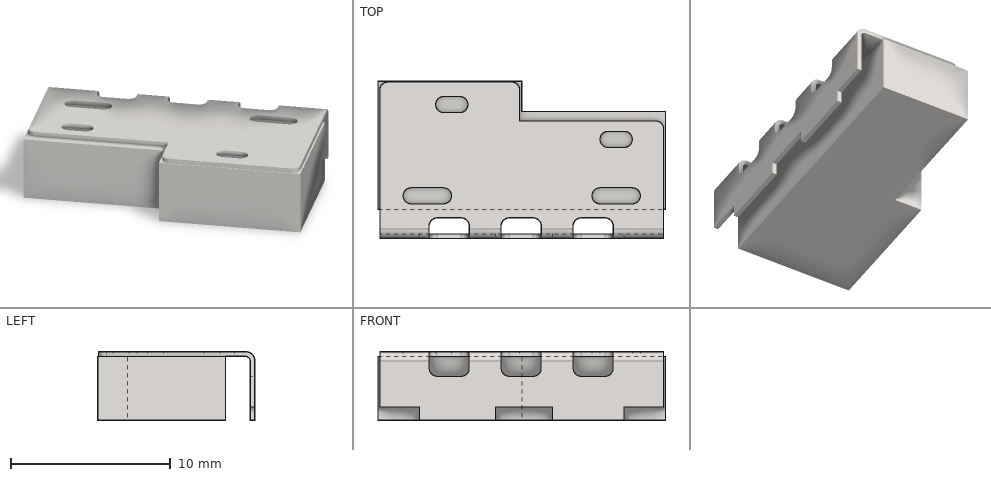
import cadquery as cq

LENGTH = 18.0
DEPTH = 9.85
HEIGHT = 4.3

SHEET = 0.3
BEND_RADIUS = 0.6
CORNER_RADIUS = 0.5
COVER_SIDE_INSET = 0.13
COVER_BACK_INSET = 0.05
COVER_STEP_Y = -2.48

BLOCK_DEPTH = 8.01
BLOCK_HEIGHT = HEIGHT - SHEET
BLOCK_STEP_X = 0.0
BLOCK_STEP_Y = -1.89

HOLE_WIDTH = 1.0
SHORT_HOLE = 2.02
LONG_HOLE = 3.02
SIDE_HOLE_X = 5.9
HOLES = [
    (SHORT_HOLE, -4.37, -1.45),
    (SHORT_HOLE, SIDE_HOLE_X, -3.64),
    (LONG_HOLE, -SIDE_HOLE_X, -7.16),
    (LONG_HOLE, SIDE_HOLE_X, -7.16),
]

WINDOW_WIDTH = 2.5
WINDOW_PITCH = 4.5
MIDDLE_WINDOW_X = -0.04
WINDOW_BACK_Y = -8.55
WINDOW_DROP = 1.55

NOTCH_HEIGHT = 0.83
END_NOTCH_LENGTH = 2.6
MIDDLE_NOTCH_LENGTH = 3.55
MIDDLE_NOTCH_X = 0.15

COVER_LENGTH = LENGTH - 2 * COVER_SIDE_INSET
COVER_RIGHT = COVER_LENGTH / 2
COVER_STEP_X = BLOCK_STEP_X - COVER_SIDE_INSET


def stepped_plan(left, right, back, front, step_x, step_y, height):
    """Rectangular slab whose back right corner is cut away."""
    outline = [(left, front), (right, front), (right, step_y), (step_x, step_y), (step_x, back), (left, back)]
    return cq.Workplane("XY").polyline(outline).close().extrude(height)


def make_block():
    return stepped_plan(
        -LENGTH / 2, LENGTH / 2, 0, -BLOCK_DEPTH, BLOCK_STEP_X, BLOCK_STEP_Y, BLOCK_HEIGHT
    )


def make_bent_sheet():
    """Top plate and front wall, joined by a bend of constant thickness."""
    blank = stepped_plan(
        -COVER_RIGHT, COVER_RIGHT, -COVER_BACK_INSET, -DEPTH, COVER_STEP_X, COVER_STEP_Y, HEIGHT
    )
    outer_corners = [
        (-COVER_RIGHT, -COVER_BACK_INSET),
        (COVER_STEP_X, -COVER_BACK_INSET),
        (COVER_RIGHT, COVER_STEP_Y),
    ]
    for x, y in outer_corners:
        corner = cq.selectors.NearestToPointSelector((x, y, HEIGHT / 2))
        blank = blank.edges("|Z").edges(corner).fillet(CORNER_RADIUS)
    blank = blank.faces("<Y").edges(">Z").fillet(BEND_RADIUS)

    hollow_depth = DEPTH - SHEET
    hollow = (
        cq.Workplane("XY")
        .box(LENGTH, hollow_depth, BLOCK_HEIGHT, centered=(True, False, False))
        .translate((0, -hollow_depth, 0))
        .faces("<Y")
        .edges(">Z")
        .fillet(BEND_RADIUS - SHEET)
    )
    return blank.cut(hollow)


def make_holes():
    cutters = cq.Workplane("XY")
    for length, x, y in HOLES:
        cutter = cq.Workplane("XY", origin=(x, y, 0)).slot2D(length, HOLE_WIDTH).extrude(HEIGHT)
        cutters = cutters.add(cutter)
    return cutters.combine()


def make_window(x):
    """Opening with rounded corners, cut down through the top plate and back through the front wall."""
    window_depth = DEPTH + WINDOW_BACK_Y
    through_top = (
        cq.Workplane("XY")
        .box(WINDOW_WIDTH, window_depth - SHEET, WINDOW_DROP, centered=(True, False, False))
        .translate((x, SHEET - DEPTH, HEIGHT - WINDOW_DROP))
        .edges("|Z and >Y")
        .fillet(CORNER_RADIUS)
    )
    through_front = (
        cq.Workplane("XY")
        .box(WINDOW_WIDTH, SHEET, WINDOW_DROP, centered=(True, False, False))
        .translate((x, -DEPTH, HEIGHT - WINDOW_DROP))
        .edges("|Y and <Z")
        .fillet(CORNER_RADIUS)
    )
    return through_top.union(through_front)


def make_notch(x, length):
    return (
        cq.Workplane("XY")
        .box(length, SHEET, NOTCH_HEIGHT, centered=(True, False, False))
        .translate((x, -DEPTH, 0))
    )


cover = make_bent_sheet().cut(make_holes())
for window_index in (-1, 0, 1):
    cover = cover.cut(make_window(MIDDLE_WINDOW_X + window_index * WINDOW_PITCH))

end_notch_x = (LENGTH - END_NOTCH_LENGTH) / 2
cover = cover.cut(make_notch(-end_notch_x, END_NOTCH_LENGTH))
cover = cover.cut(make_notch(MIDDLE_NOTCH_X, MIDDLE_NOTCH_LENGTH))
cover = cover.cut(make_notch(end_notch_x, END_NOTCH_LENGTH))

result = make_block().union(cover)